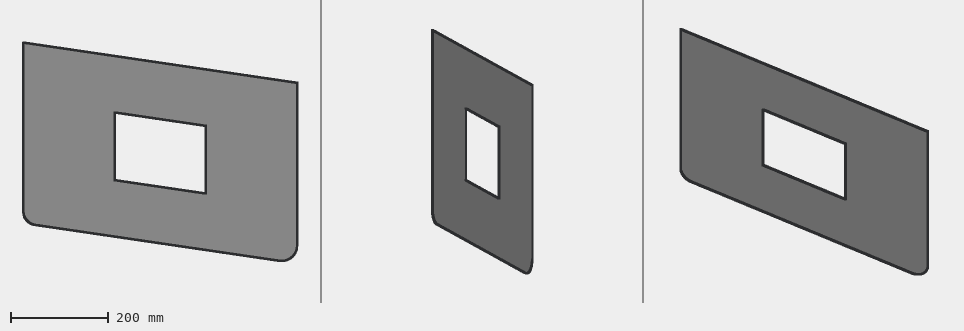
import cadquery as cq

length = 600.0
height = 400.0
thickness = 2.0

window_length = length / 3
window_height = 150.0

left_corner_radius = 25.0
right_corner_radius = 40.0


def round_corner(body, corner_x, radius):
    """Round the lower corner edge that runs through the thickness at corner_x."""
    corner = cq.selectors.NearestToPointSelector((corner_x, 0, -height / 2))
    return body.edges("|Y").edges(corner).fillet(radius)


panel = cq.Workplane("XY").box(length, thickness, height)
panel = round_corner(panel, -length / 2, left_corner_radius)
panel = round_corner(panel, length / 2, right_corner_radius)

window = cq.Workplane("XY").box(window_length, 2 * thickness, window_height)

result = panel.cut(window)